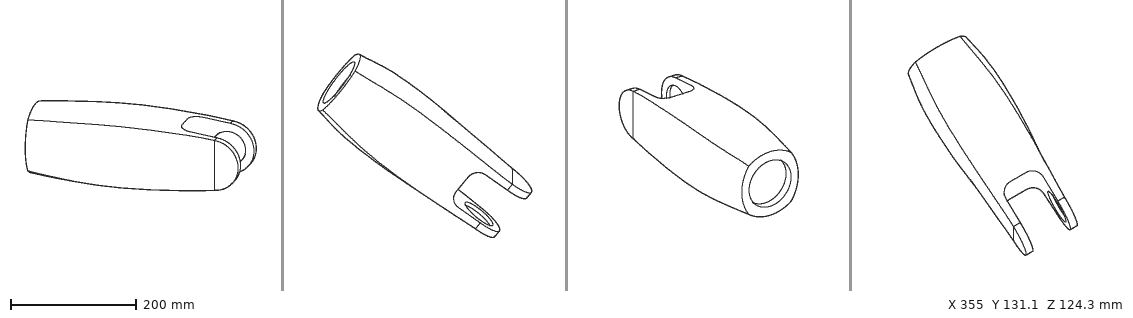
import cadquery as cq

LENGTH = 355.0
AXIS_RISE = 4.0
SOCKET_AXIS_Z = -2.0

TIP_RADIUS = 42.5
PIVOT_X = LENGTH - TIP_RADIUS
PIVOT_Z = SOCKET_AXIS_Z + AXIS_RISE
FORK_HALF_WIDTH = 47.5
SLOT_HALF_WIDTH = 34.8
SLOT_START_X = 250.7
SLOT_CORNER_RADIUS = 20.0
SLOT_CUT_HEIGHT = 213.0
RECESS_RADIUS = 28.5
RECESS_DEPTH = 6.5

SOCKET_RADIUS = 41.0
SOCKET_DEPTH = 14.2

BODY_END_X = 315.3
CROWN_MARGIN = 0.5
SECTIONS = [
    (0.0, 41.5, 43.3, 55.0, 57.0),
    (35.5, 45.8, 46.5, 61.5, 60.5),
    (71.0, 50.0, 49.0, 65.0, 61.8),
    (106.5, 52.5, 51.0, 65.5, 62.0),
    (142.0, 53.3, 52.2, 64.3, 61.0),
    (213.0, 52.0, 50.8, 57.5, 55.7),
    (284.0, 48.5, 46.0, 50.0, 47.2),
    (BODY_END_X, FORK_HALF_WIDTH, TIP_RADIUS, FORK_HALF_WIDTH + CROWN_MARGIN, TIP_RADIUS + CROWN_MARGIN),
]


def axis_height(x):
    """Height of the gently rising body axis at x."""
    return SOCKET_AXIS_Z + AXIS_RISE * x / PIVOT_X


def section_wire(x, corner_y, corner_z, crown_y, crown_z):
    """Four outward-bulging arcs meeting at sharp corners."""
    return (
        cq.Workplane("YZ", origin=(x, 0, axis_height(x)))
        .moveTo(-corner_y, -corner_z)
        .threePointArc((0, -crown_z), (corner_y, -corner_z))
        .threePointArc((crown_y, 0), (corner_y, corner_z))
        .threePointArc((0, crown_z), (-corner_y, corner_z))
        .threePointArc((-crown_y, 0), (-corner_y, -corner_z))
        .close()
        .val()
    )


def pivot_disc(radius, half_width):
    """Disc on the pivot axis, centred across the part."""
    return (
        cq.Workplane("XZ", origin=(PIVOT_X, 0, PIVOT_Z))
        .circle(radius)
        .extrude(half_width, both=True)
    )


def fork_slot():
    """Slot through the height, open at the tip, with rounded inner corners."""
    return (
        cq.Workplane("XY")
        .box(LENGTH, 2 * SLOT_HALF_WIDTH, SLOT_CUT_HEIGHT, centered=(False, True, True))
        .edges("|Z and <X")
        .fillet(SLOT_CORNER_RADIUS)
        .translate((SLOT_START_X, 0, 0))
    )


def socket():
    """Shallow round socket in the flat end."""
    return cq.Workplane("YZ", origin=(0, 0, SOCKET_AXIS_Z)).circle(SOCKET_RADIUS).extrude(SOCKET_DEPTH)


body = cq.Workplane(cq.Solid.makeLoft([section_wire(*section) for section in SECTIONS]))
body = body.union(pivot_disc(TIP_RADIUS, FORK_HALF_WIDTH))

result = (
    body.cut(fork_slot())
    .cut(pivot_disc(RECESS_RADIUS, SLOT_HALF_WIDTH + RECESS_DEPTH))
    .cut(socket())
)